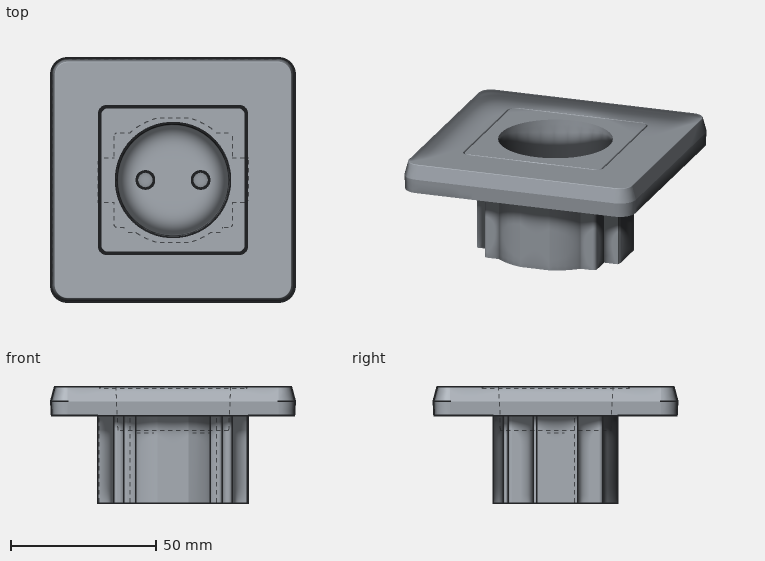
import cadquery as cq
import math

total_height = 40.15
plate_thickness = 10.0
body_height = total_height - plate_thickness

plate_size = 84.0
rim_corner_radius = 5.8
rim_to_back = 4.95
rim_to_face = plate_thickness - rim_to_back
face_inset = 1.35
back_inset = 0.25
face_edge_radius = 0.25

joint_size = 50.4
joint_corner_radius = 2.5
groove_half_width = 0.3
groove_depth = 0.5

recess_top_radius = 19.7
recess_floor_radius = 19.1
recess_depth = 14.95
recess_floor_fillet = 0.25
pin_spacing = 19.0
pin_top_radius = 3.1
pin_floor_radius = 2.8
pin_depth = 0.8

core_radius = 22.1
core_flat = 21.4
block_half_width = 20.4
block_half_depth = 16.3
block_corner_radius = 1.3
shoulder_depth = 18.0
shoulder_half_width = 17.0
shoulder_corner_radius = 1.1

tab_reach = 25.9
tab_half_width = 7.7
scoop_length = 1.35
scoop_depth = 0.3


def tapered_square(bottom_size, top_size, bottom_radius, top_radius, z, height):
    """Block from height z with rounded vertical corners and evenly sloping sides."""
    bottom = cq.Sketch().rect(bottom_size, bottom_size).vertices().fillet(bottom_radius)
    top = cq.Sketch().rect(top_size, top_size).vertices().fillet(top_radius)
    top = top.moved(cq.Location(cq.Vector(0, 0, height)))
    return cq.Workplane("XY", origin=(0, 0, z)).placeSketch(bottom, top).loft(ruled=True)


def tapered_hole(x, top_z, top_radius, floor_radius, depth):
    """Cutter for a round hole that narrows towards its floor."""
    return cq.Workplane(
        obj=cq.Solid.makeCone(
            floor_radius, top_radius, depth, pnt=cq.Vector(x, 0, top_z - depth)
        )
    )


def core_x(y):
    """Half width of the round core at a given distance from the X axis."""
    return math.sqrt(core_radius**2 - y**2)


def make_core():
    """Core and side blocks; the -Y side carries a shoulder between block and core."""
    bend = math.sqrt(0.5)
    block_arc_x = block_half_width - block_corner_radius
    block_arc_y = block_half_depth - block_corner_radius
    block_mid_x = block_arc_x + bend * block_corner_radius
    block_mid_y = block_arc_y + bend * block_corner_radius
    shoulder_arc_x = shoulder_half_width - shoulder_corner_radius
    shoulder_arc_y = shoulder_depth - shoulder_corner_radius
    shoulder_mid_x = shoulder_arc_x + bend * shoulder_corner_radius
    shoulder_mid_y = shoulder_arc_y + bend * shoulder_corner_radius
    front_mid_y = (core_flat + shoulder_depth) / 2
    rear_mid_y = (core_flat + block_half_depth) / 2

    half = (
        cq.Workplane("XY")
        .moveTo(0, -core_flat)
        .lineTo(core_x(core_flat), -core_flat)
        .threePointArc((core_x(front_mid_y), -front_mid_y), (core_x(shoulder_depth), -shoulder_depth))
        .lineTo(shoulder_arc_x, -shoulder_depth)
        .threePointArc((shoulder_mid_x, -shoulder_mid_y), (shoulder_half_width, -shoulder_arc_y))
        .lineTo(shoulder_half_width, -block_half_depth)
        .lineTo(block_arc_x, -block_half_depth)
        .threePointArc((block_mid_x, -block_mid_y), (block_half_width, -block_arc_y))
        .lineTo(block_half_width, block_arc_y)
        .threePointArc((block_mid_x, block_mid_y), (block_arc_x, block_half_depth))
        .lineTo(core_x(block_half_depth), block_half_depth)
        .threePointArc((core_x(rear_mid_y), rear_mid_y), (core_x(core_flat), core_flat))
        .lineTo(0, core_flat)
    )
    return half.mirrorY().extrude(body_height)


def make_tabs():
    """Bar whose ends form the two tabs, scooped at diagonally opposite corners."""
    tabs = cq.Workplane("XY").rect(2 * tab_reach, 2 * tab_half_width).extrude(body_height)
    scoop_radius = (scoop_length**2 + scoop_depth**2) / (2 * scoop_depth)
    scoop_x = tab_reach - scoop_depth + scoop_radius
    for side in (1, -1):
        scoop = (
            cq.Workplane("XY")
            .center(side * scoop_x, -side * tab_half_width)
            .circle(scoop_radius)
            .extrude(body_height)
        )
        tabs = tabs.cut(scoop)
    return tabs


def make_plate():
    """Cover plate tapering from its rim line to both the face and the back."""
    lower = tapered_square(
        plate_size - 2 * back_inset,
        plate_size,
        rim_corner_radius - back_inset,
        rim_corner_radius,
        body_height,
        rim_to_back,
    )
    upper = tapered_square(
        plate_size,
        plate_size - 2 * face_inset,
        rim_corner_radius,
        rim_corner_radius - face_inset,
        body_height + rim_to_back,
        rim_to_face,
    )
    return lower.union(upper.faces(">Z").edges().fillet(face_edge_radius))


def make_groove():
    """Square ring cutter whose two flanks meet in a V along the joint."""
    floor_z = total_height - groove_depth
    frame_side, insert_side = (
        tapered_square(
            joint_size,
            joint_size + 2 * spread,
            joint_corner_radius,
            joint_corner_radius + spread,
            floor_z,
            groove_depth,
        )
        for spread in (groove_half_width, -groove_half_width)
    )
    return frame_side.cut(insert_side)


def make_recess():
    """Plug recess cutter with a small fillet around its floor."""
    recess = tapered_hole(0, total_height, recess_top_radius, recess_floor_radius, recess_depth)
    return recess.faces("<Z").edges().fillet(recess_floor_fillet)


result = make_plate().union(make_core()).union(make_tabs())
result = result.cut(make_groove()).cut(make_recess())
recess_floor_z = total_height - recess_depth
for pin_x in (-pin_spacing / 2, pin_spacing / 2):
    result = result.cut(
        tapered_hole(pin_x, recess_floor_z, pin_top_radius, pin_floor_radius, pin_depth)
    )